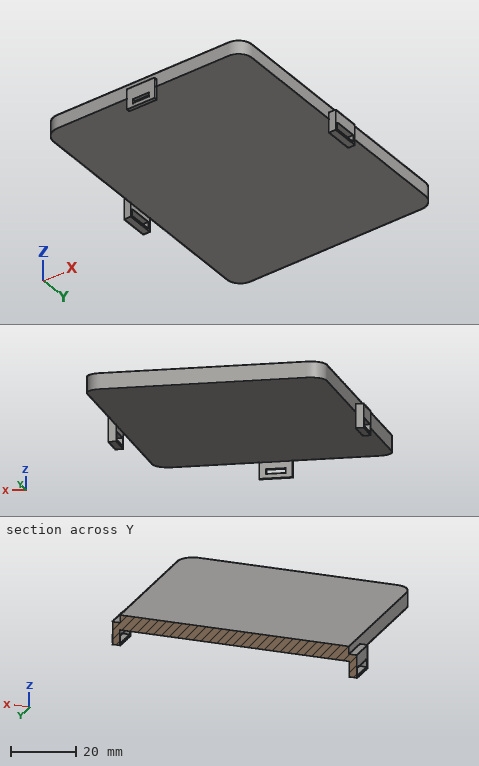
import cadquery as cq

plate_width = 75.0
plate_length = 100.1
plate_thickness = 5.1
corner_radius = 5.1

tab_height = 7.6
tab_top_drop = 2.5
tab_top = plate_thickness - tab_top_drop
tab_bottom = tab_top - tab_height

side_tab_width = 10.0
side_tab_thickness = 2.5
side_slot_width = 8.2
side_slot_height = 2.5
side_slot_lift = 0.7

front_tab_width = 10.4
front_tab_thickness = 1.2
front_slot_width = 6.2
front_slot_height = 1.5
front_slot_lift = 1.4


def slotted_tab(width, thickness, slot_width, slot_height, slot_lift):
    """Tab with its back on the XZ plane, extending toward -Y, with a through slot."""
    centered_in_x = (True, False, False)
    tab = cq.Workplane("XY").box(width, thickness, tab_height, centered=centered_in_x)
    slot = (
        cq.Workplane("XY")
        .box(slot_width, thickness, slot_height, centered=centered_in_x)
        .translate((0, 0, slot_lift))
    )
    return tab.cut(slot).translate((0, -thickness, tab_bottom))


plate = (
    cq.Workplane("XY")
    .rect(plate_width, plate_length)
    .extrude(plate_thickness)
    .edges("|Z")
    .fillet(corner_radius)
)

front_tab = slotted_tab(
    front_tab_width, front_tab_thickness, front_slot_width, front_slot_height, front_slot_lift
).translate((0, -plate_length / 2, 0))
result = plate.union(front_tab)

side_tab = slotted_tab(
    side_tab_width, side_tab_thickness, side_slot_width, side_slot_height, side_slot_lift
).translate((0, -plate_width / 2, 0))
for turn in (-90, 90):
    result = result.union(side_tab.rotate((0, 0, 0), (0, 0, 1), turn))